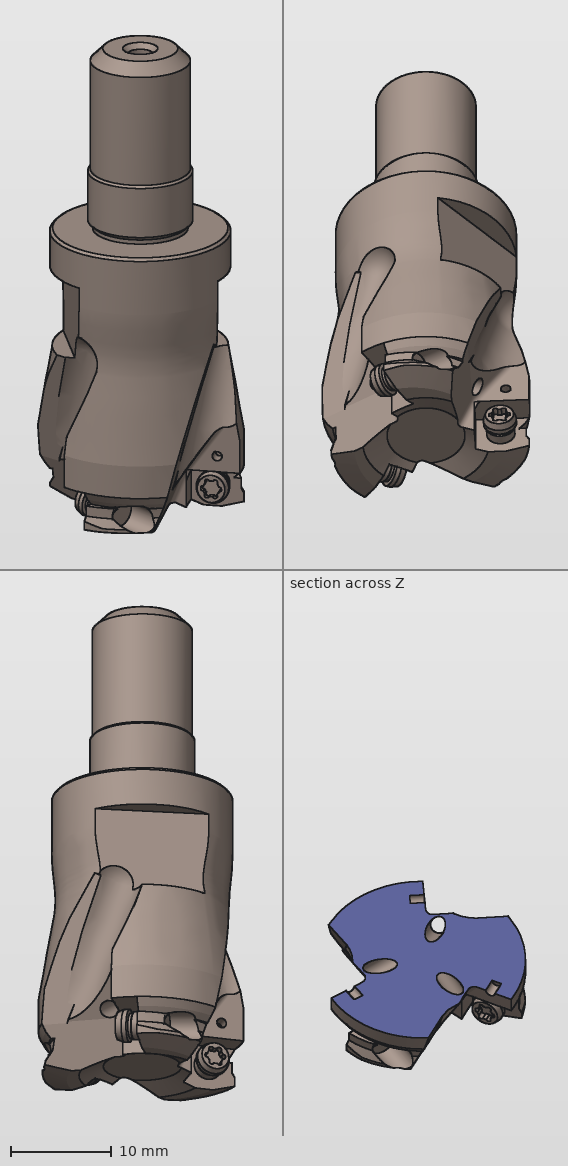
import cadquery as cq


total_length = 48.4
tooth_count = 3
first_tooth_angle = 60
tooth_angles = [first_tooth_angle + 360 / tooth_count * i for i in range(tooth_count)]
far = 19.35

shank_radius = 5.0
shank_chamfer = 1.25
collar_radius = 5.25
collar_top = 35.7
collar_bottom = 30.3
collar_chamfer = 0.25
neck_radius = 4.75
neck_top = 29.85

flange_radius = 9.0
flange_top = 29.45
flange_chamfer = 0.3
flange_bottom = 23.45
waist_radius = 8.65
waist_height = 18.4
cutter_diameter = 20.65
cutter_radius = cutter_diameter / 2
cutter_top = 7.95
mid_radius = 9.35
mid_height = 13.8
lower_lean = 0.2

flat_distance = 6.95
flat_angle = -10
flat_top = 25.45
flat_bottom = 17.05

flute_end_radius = 2.6
flute_low_radius = 3.8
flute_end = cq.Vector(9.55, -0.55, 17.6)
flute_low = cq.Vector(8.1, -8.25, 0.95)
relief_offset = 3.6
relief_slope = 0.24

face_y = -0.9
floor_kink_height = 4.55
floor_kink_distance = 4.7
floor_upper_slope = 0.72
floor_lower_slope = 0.4
floor_fillet = 0.6

seat_y = 1.65
seat_top = 4.55
seat_wall = 4.85

clearance_center = (0.65, -1.1)
clearance_inner_side = 0.95
shoulder_low = 3.1
shoulder_low_radius = 9.35
shoulder_break = 3.75
shoulder_break_radius = 9.85
groove_radius = 9.7
groove_bottom = 2.05
lip_radius = 10.2
lip_top = 1.1
lip_bottom = 0.75
tip_radius = 7.8

dish_radius = 6.3
dish_floor_radius = 3.85
dish_depth = 0.95

bore_radius = 1.2
bore_mouth_radius = 1.75
bore_bottom = 7.75
branch_radius = 0.85
branch_run_out = 0.95
branch_start = cq.Vector(0, 0, 8.7)
branch_exit = cq.Vector(5.2, -2.2, 5.35)

outlet_radius = 0.5
outlet_depth = 1.45
outlet_distance = 8.0
outlet_height = 6.2

screw_distance = 7.35
screw_height = 2.45
screw_tilt = 4.5
screw_radius = 1.4
screw_tail = 2.45
screw_groove_radius = 1.25
screw_groove_start = 0.85
screw_groove_slant = 0.1
screw_head_start = 1.35
screw_taper_start = 1.85
screw_head_radius = 1.65
screw_tip_radius = 1.4
screw_stick_out = 2.5
recess_radius = 0.8
recess_lobe_radius = 0.25
recess_depth = 0.77
recess_lobes = 6


def turned_to(shape, angle):
    return shape.rotate((0, 0, 0), (0, 0, 1), angle)


def make_blank():
    """Shank, collar, flange and waisted head as one turned shape."""
    profile = (
        cq.Workplane("XZ")
        .moveTo(0, 0)
        .lineTo(cutter_radius, 0)
        .lineTo(cutter_radius, cutter_top)
        .spline(
            [(mid_radius, mid_height), (waist_radius, waist_height), (flange_radius, flange_bottom)],
            tangents=[(-lower_lean, 1), (0, 1)],
            includeCurrent=True,
        )
        .lineTo(flange_radius, flange_top - flange_chamfer)
        .lineTo(flange_radius - flange_chamfer, flange_top)
        .lineTo(neck_radius, flange_top)
        .lineTo(neck_radius, neck_top)
        .lineTo(collar_radius, collar_bottom)
        .lineTo(collar_radius, collar_top - collar_chamfer)
        .lineTo(shank_radius, collar_top)
        .lineTo(shank_radius, total_length - shank_chamfer)
        .lineTo(shank_radius - shank_chamfer, total_length)
        .lineTo(0, total_length)
        .close()
    )
    return profile.revolve(360, (0, 0, 0), (0, 1, 0))


def wrench_flats():
    """Two parallel slabs outside the flats."""
    slab = cq.Workplane("XY").box(2 * far, far, flat_top - flat_bottom, centered=(True, False, False))
    slab = slab.translate((0, flat_distance, flat_bottom))
    return turned_to(slab.union(turned_to(slab, 180)), flat_angle)


def flute():
    """Tapered round flute with a ball end, opened sideways down to a flat relief plane."""
    direction = flute_low - flute_end
    cone = cq.Solid.makeCone(flute_end_radius, flute_low_radius, direction.Length, flute_end, direction)
    ball = cq.Workplane("XY").sphere(flute_end_radius).translate(flute_end)
    axis_lean = direction.y / direction.z
    opening = (
        cq.Workplane("YZ")
        .polyline([
            (flute_end.y, flute_end.z),
            (flute_low.y, flute_low.z),
            (-far, flute_low.z),
            (-far, flute_end.z - axis_lean * (-far - flute_end.y)),
        ])
        .close()
        .extrude(far)
    )
    above_relief = (
        cq.Workplane("XZ")
        .polyline([
            (relief_offset, 0),
            (far, 0),
            (far, total_length),
            (relief_offset + relief_slope * total_length, total_length),
        ])
        .close()
        .extrude(far)
    )
    return ball.union(cq.Workplane(cone)).union(opening.intersect(above_relief))


def chip_pocket():
    """Room in front of the cutting face, over a bent sloping floor."""
    top_height = floor_kink_height + (far - floor_kink_distance) / floor_upper_slope
    pocket = (
        cq.Workplane("XZ", origin=(0, face_y, 0))
        .polyline([
            (floor_kink_distance - floor_lower_slope * floor_kink_height, 0),
            (far, 0),
            (far, top_height),
            (floor_kink_distance, floor_kink_height),
        ])
        .close()
        .extrude(far)
    )
    floor_edges = pocket.faces(">Y").edges("not(|X or |Z)")
    return floor_edges.fillet(floor_fillet)


def insert_seat():
    return cq.Workplane("XY").box(far, seat_y - face_y, seat_top, centered=False).translate(
        (seat_wall, face_y, 0)
    )


def land_clearance():
    """Grooved clearance under the land, behind the seat."""
    ring = (
        cq.Workplane("XZ")
        .polyline([
            (tip_radius, 0),
            (lip_radius, lip_bottom),
            (lip_radius, lip_top),
            (groove_radius, groove_bottom),
            (groove_radius, shoulder_low),
            (far, shoulder_low),
            (far, 0),
        ])
        .close()
        .revolve(360, (0, 0, 0), (0, 1, 0))
        .translate((*clearance_center, 0))
    )
    shoulder = (
        cq.Workplane("XZ")
        .polyline([
            (shoulder_low_radius, shoulder_low),
            (shoulder_break_radius, shoulder_break),
            (cutter_radius, seat_top),
            (far, seat_top),
            (far, shoulder_low),
        ])
        .close()
        .revolve(360, (0, 0, 0), (0, 1, 0))
    )
    sector = cq.Workplane("XY").box(far, far, seat_top, centered=False).translate(
        (clearance_inner_side, face_y, 0)
    )
    return ring.union(shoulder).intersect(sector)


def coolant_bore():
    mouth = bore_mouth_radius - bore_radius
    return (
        cq.Workplane("XZ")
        .polyline([
            (0, bore_bottom),
            (bore_radius, bore_bottom),
            (bore_radius, total_length - mouth),
            (bore_mouth_radius, total_length),
            (0, total_length),
        ])
        .close()
        .revolve(360, (0, 0, 0), (0, 1, 0))
    )


def coolant_branch():
    direction = branch_exit - branch_start
    branch_length = direction.Length + branch_run_out
    return cq.Workplane(cq.Solid.makeCylinder(branch_radius, branch_length, branch_start, direction))


def coolant_outlet():
    outlet = cq.Workplane("XZ", origin=(outlet_distance, face_y, outlet_height))
    return outlet.circle(outlet_radius).extrude(-outlet_depth)


def end_dish():
    return (
        cq.Workplane("XZ")
        .polyline([(0, 0), (dish_radius, 0), (dish_floor_radius, dish_depth), (0, dish_depth)])
        .close()
        .revolve(360, (0, 0, 0), (0, 1, 0))
    )


def on_screw_axis(shape):
    """Move a shape made along +Z, with the seat at z = 0, onto the tilted screw axis."""
    return (
        shape.rotate((0, 0, 0), (1, 0, 0), 90 - screw_tilt)
        .translate((screw_distance, seat_y, screw_height))
    )


def screw_hole():
    """Hole from in front of the seat, so that it clears the tilted screw, out through the back."""
    front = cq.Workplane("XY", origin=(0, 0, screw_stick_out))
    return on_screw_axis(front.circle(screw_radius).extrude(-screw_stick_out - far / 2))


def make_screw():
    """Grooved screw with a tapered head and a six-lobed recess."""
    body = (
        cq.Workplane("XZ")
        .polyline([
            (0, -screw_tail),
            (screw_radius, -screw_tail),
            (screw_radius, screw_groove_start),
            (screw_groove_radius, screw_groove_start + screw_groove_slant),
            (screw_groove_radius, screw_head_start - screw_groove_slant),
            (screw_head_radius, screw_head_start),
            (screw_head_radius, screw_taper_start),
            (screw_tip_radius, screw_stick_out),
            (0, screw_stick_out),
        ])
        .close()
        .revolve(360, (0, 0, 0), (0, 1, 0))
    )
    tip = cq.Workplane("XY", origin=(0, 0, screw_stick_out))
    recess = tip.circle(recess_radius).extrude(-recess_depth)
    lobe_places = tip.polarArray(recess_radius, 0, 360, recess_lobes)
    lobes = lobe_places.circle(recess_lobe_radius).extrude(-recess_depth)
    return on_screw_axis(body.cut(recess.union(lobes)))


def make_cutter_body():
    body = make_blank().cut(wrench_flats()).cut(coolant_bore()).cut(end_dish())
    tooth_cuts = [
        flute(), chip_pocket(), insert_seat(), land_clearance(), screw_hole(),
        coolant_branch(), coolant_outlet(),
    ]
    for angle in tooth_angles:
        for cut in tooth_cuts:
            body = body.cut(turned_to(cut, angle))
    return body


cutter_body = make_cutter_body()
screws = [turned_to(make_screw(), angle) for angle in tooth_angles]

result = cq.Compound.makeCompound([cutter_body.val(), *[screw.val() for screw in screws]])